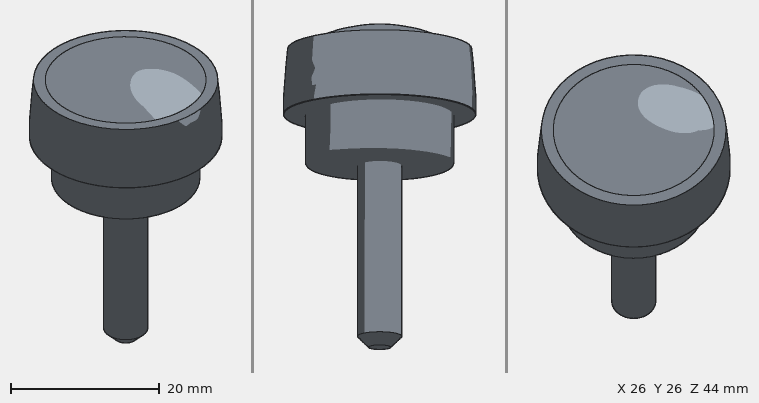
import cadquery as cq

total_height = 44.0

pin_radius = 6.0 / 2
pin_length = 25.0
pin_chamfer = 1.5

collar_radius = 20.0 / 2
collar_height = 7.0
collar_fillet = 0.5

head_blend = 0.18
pin_blend = 0.1

head_radius = 25.95 / 2
head_top_radius = 12.4
band_height = 2.02
head_height = 9.0
head_edge_chamfer = 0.1
side_bulge = 0.05
dome_radius = 10.82

collar_top = pin_length + collar_height
band_top = collar_top + band_height
head_top = collar_top + head_height

side_mid_radius = (head_radius + head_top_radius) / 2 + side_bulge
side_mid_height = (band_top + head_top) / 2

dome_height = total_height - head_top
dome_sphere_radius = (dome_radius**2 + dome_height**2) / (2 * dome_height)


def make_pin():
    pin = cq.Workplane("XY").circle(pin_radius).extrude(pin_length)
    return pin.faces("<Z").chamfer(pin_chamfer)


def make_collar():
    collar = cq.Workplane("XY").workplane(offset=pin_length).circle(collar_radius).extrude(collar_height)
    return collar.faces("<Z").edges().fillet(collar_fillet)


def make_head():
    """Revolve the half section of the head, drawn as (radius, height)."""
    dome_mid_radius = dome_radius / 2
    dome_centre_height = total_height - dome_sphere_radius
    dome_mid_height = dome_centre_height + (dome_sphere_radius**2 - dome_mid_radius**2) ** 0.5
    section = (
        cq.Workplane("XZ")
        .moveTo(0, collar_top)
        .lineTo(head_radius - head_edge_chamfer, collar_top)
        .lineTo(head_radius, collar_top + head_edge_chamfer)
        .lineTo(head_radius, band_top)
        .threePointArc((side_mid_radius, side_mid_height), (head_top_radius, head_top))
        .lineTo(dome_radius, head_top)
        .threePointArc((dome_mid_radius, dome_mid_height), (0, total_height))
        .close()
    )
    return section.revolve(360, (0, 0, 0), (0, 1, 0))


def blend_corner(body, height, radius, fillet):
    """Round the inner corner circle of the given radius at the given height."""
    tolerance = 0.02
    box = cq.selectors.BoxSelector(
        (-radius - tolerance, -radius - tolerance, height - tolerance),
        (radius + tolerance, radius + tolerance, height + tolerance),
        boundingbox=True,
    )
    return body.edges(box).fillet(fillet)


result = make_pin().union(make_collar()).union(make_head())
result = blend_corner(result, collar_top, collar_radius, head_blend)
result = blend_corner(result, pin_length, pin_radius, pin_blend)